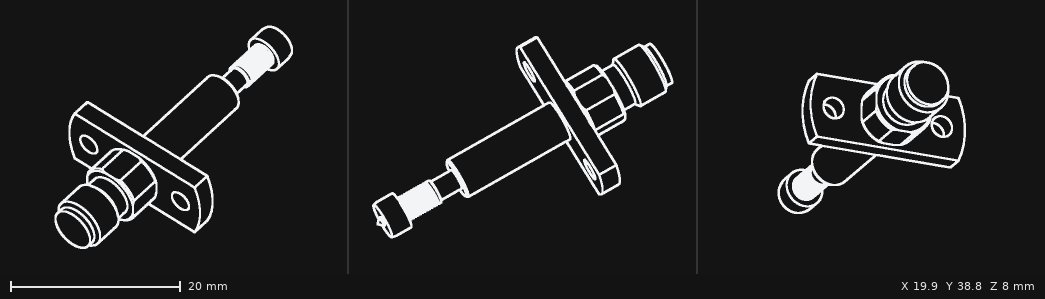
import cadquery as cq


overall_length = 38.8

flange_diameter = 19.95
flange_height = 8.0
flange_thickness = 2.35
screw_hole_diameter = 2.6
screw_hole_spacing = 13.95

collar_diameter = 6.0
nut_corner_diameter = 7.53
nut_across_flats = 7.0
nut_front = -0.2
nut_back = -4.58
nut_chamfer_length = 0.25
nut_chamfer_depth = 0.2
relief_diameter = 5.3
sleeve_diameter = 6.4
sleeve_front = -6.45
sleeve_back = -10.7
sleeve_cone_length = 0.43
connector_end = -11.5

barrel_diameter = 5.0
barrel_end = 16.5
barrel_chamfer = 0.2
plunger_diameter = 2.52
thread_diameter = 3.0
thread_start = 19.4
cap_diameter = 4.6
cap_start = 23.98
cap_end = 26.58
cap_taper_length = 0.5
cap_taper_depth = 0.1
tip_diameter = 1.13
tip_end = overall_length + connector_end

groove_pitch = 0.32
groove_width = 0.25
groove_depth = 0.15
groove_overshoot = 0.05
plain_end_length = 0.35
cap_clearance = 0.15
groove_start = thread_start + plain_end_length
groove_end = cap_start - cap_clearance


def cylinder(diameter, start, end):
    """Round bar on the Y axis between two stations."""
    return cq.Workplane("XZ", origin=(0, end, 0)).circle(diameter / 2).extrude(end - start)


def revolved(profile):
    """Solid of revolution about Y from (radius, station) points that start and end on Y."""
    return cq.Workplane("XY").polyline(profile).close().revolve(360, (0, 0), (0, 1))


def flange():
    """Plate with two parallel long sides, round ends and two screw holes."""
    plate = cylinder(flange_diameter, 0, flange_thickness)
    bounds = cq.Workplane("XY").box(flange_diameter, 2 * flange_thickness, flange_height)
    holes = (
        cq.Workplane("XZ")
        .pushPoints([(-screw_hole_spacing / 2, 0), (screw_hole_spacing / 2, 0)])
        .circle(screw_hole_diameter / 2)
        .extrude(-flange_thickness)
    )
    return plate.intersect(bounds).cut(holes)


def nut():
    """Round nut with chamfered ends and four wrench flats."""
    outer = nut_corner_diameter / 2
    inner = outer - nut_chamfer_depth
    blank = revolved([
        (0, nut_back),
        (inner, nut_back),
        (outer, nut_back + nut_chamfer_length),
        (outer, nut_front - nut_chamfer_length),
        (inner, nut_front),
        (0, nut_front),
    ])
    flats = cq.Workplane("XY").box(nut_across_flats, 2 * abs(nut_back), nut_across_flats)
    return blank.intersect(flats)


def sleeve():
    """Sleeve whose two ends taper down to the relief diameter."""
    outer = sleeve_diameter / 2
    inner = relief_diameter / 2
    return revolved([
        (0, sleeve_back),
        (inner, sleeve_back),
        (outer, sleeve_back + sleeve_cone_length),
        (outer, sleeve_front - sleeve_cone_length),
        (inner, sleeve_front),
        (0, sleeve_front),
    ])


def connector():
    """Collar, nut, core and sleeve in front of the flange."""
    collar = cylinder(collar_diameter, nut_front, 0)
    core = cylinder(relief_diameter, connector_end, nut_back)
    return collar.union(nut()).union(core).union(sleeve())


def barrel():
    """Long barrel behind the flange with a chamfered free end."""
    body = cylinder(barrel_diameter, flange_thickness, barrel_end)
    return body.faces(">Y").chamfer(barrel_chamfer)


def thread():
    """Plain bar with a helical V groove between its two unthreaded ends."""
    radius = thread_diameter / 2
    bar = cylinder(thread_diameter, thread_start, cap_start)
    half_width = groove_width / 2 * (groove_depth + groove_overshoot) / groove_depth
    length = groove_end - groove_start
    path = cq.Wire.makeHelix(groove_pitch, length, radius)
    groove = (
        cq.Workplane("XZ")
        .moveTo(radius - groove_depth, 0)
        .lineTo(radius + groove_overshoot, half_width)
        .lineTo(radius + groove_overshoot, -half_width)
        .close()
        .sweep(cq.Workplane(obj=path), isFrenet=True)
        .rotate((0, 0, 0), (1, 0, 0), -90)
        .translate((0, groove_start, 0))
    )
    return bar.cut(groove)


def cap():
    """Slightly tapered cap carrying the conical contact tip."""
    radius = cap_diameter / 2
    tip_radius = tip_diameter / 2
    return revolved([
        (0, cap_start),
        (radius, cap_start),
        (radius, cap_end - cap_taper_length),
        (radius - cap_taper_depth, cap_end),
        (tip_radius, cap_end),
        (tip_radius, tip_end - tip_radius),
        (0, tip_end),
    ])


plunger = cylinder(plunger_diameter, barrel_end, thread_start)

result = flange().union(connector()).union(barrel()).union(plunger).union(thread()).union(cap())